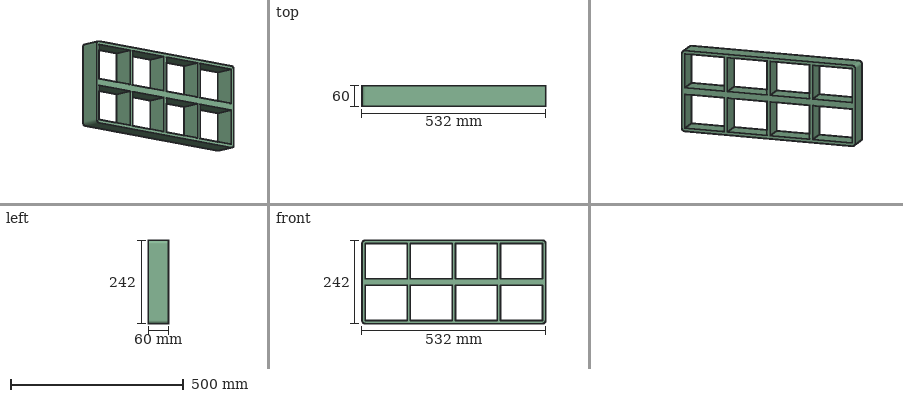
import cadquery as cq

length = 532.0
depth = 60.0
height = 242.0

outer_wall = 10.0
column_divider = 10.0
row_divider = 20.0
columns = 4
rows = 2
corner_radius = 10.0

opening_length = (length - 2 * outer_wall - (columns - 1) * column_divider) / columns
opening_height = (height - 2 * outer_wall - (rows - 1) * row_divider) / rows
column_pitch = opening_length + column_divider
row_pitch = opening_height + row_divider


def make_block():
    """Solid block centred on the origin, its four edges along Y rounded."""
    return cq.Workplane("XY").box(length, depth, height).edges("|Y").fillet(corner_radius)


def make_openings():
    """Grid of rectangular openings running through the full depth."""
    return (
        cq.Workplane("XZ")
        .rarray(column_pitch, row_pitch, columns, rows)
        .rect(opening_length, opening_height)
        .extrude(depth / 2, both=True)
    )


result = make_block().cut(make_openings())